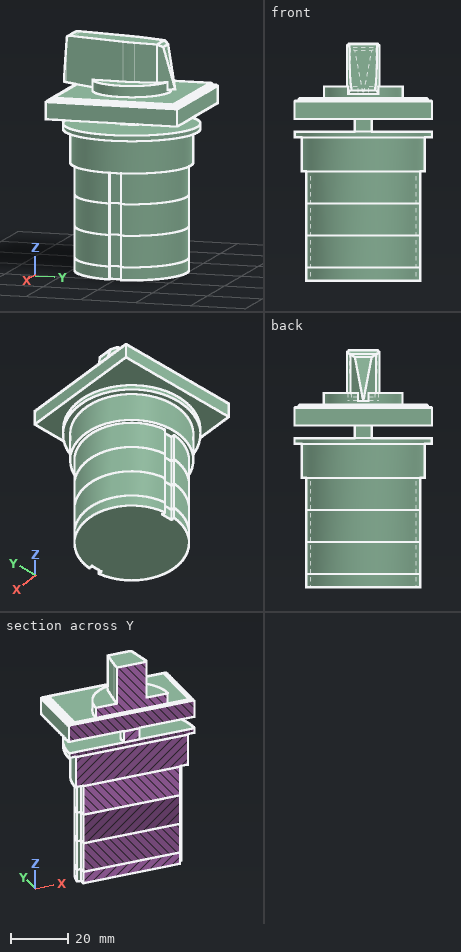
import cadquery as cq

total_height = 82.7
plate_width = 48.0

stage_count = 3
stage_diameter = 40.0
stage_height = 11.2
end_cap_height = 4.6
slot_width = 4.3
slot_depth = 1.6

collar_diameter = 43.0
collar_height = 11.9
flange_height = 2.0

shaft_width = 5.95
panel_gap = 4.3

frame_height = 6.6
label_height = 0.8
label_margin = 1.5
edge_chamfer = 0.5

disc_diameter = 27.5
disc_height = 4.0

tip_y = 15.9
shoulder_y = 10.6
shoulder_half_width = 4.5
waist_y = 0.7
waist_half_width = 5.8
tail_y = -23.6
tail_half_width = 4.8
waist_radius = 23.15
tail_radius = 1.2

pointer_bottom_rise = 1.15
tail_bottom_rise = 2.6
tail_bottom_y = -23.5
tail_top_y = -22.2
underside_y = -11.6
crest_y = -19.85
shoulder_drop = 1.4
brow_y = 12.4
brow_drop = 2.5
crest_radius = 0.75

stack_top = end_cap_height + stage_count * stage_height
collar_top = stack_top + collar_height
flange_top = collar_top + flange_height
frame_bottom = flange_top + panel_gap
frame_top = frame_bottom + frame_height
label_top = frame_top + label_height


def cylinder(diameter, height, bottom):
    return cq.Workplane("XY").workplane(offset=bottom).circle(diameter / 2).extrude(height)


def square_block(width, height, bottom):
    return cq.Workplane("XY").workplane(offset=bottom).rect(width, width).extrude(height)


def slotted_disc(height, bottom):
    """Round block of the stack with a straight slot in its -X and +X sides."""
    slots = (
        cq.Workplane("XY")
        .workplane(offset=bottom)
        .pushPoints([(-stage_diameter / 2, 0), (stage_diameter / 2, 0)])
        .rect(2 * slot_depth, slot_width)
        .extrude(height)
    )
    return cylinder(stage_diameter, height, bottom).cut(slots)


def make_plate(width, height, bottom):
    """Square plate with its upper edges chamfered."""
    return square_block(width, height, bottom).faces(">Z").edges().chamfer(edge_chamfer)


def make_grip():
    """Handle of the knob: its plan outline cut to its side profile."""
    pointer_bottom = label_top + pointer_bottom_rise
    plan = (
        cq.Workplane("XY")
        .workplane(offset=label_top)
        .moveTo(0, tip_y)
        .lineTo(shoulder_half_width, shoulder_y)
        .lineTo(waist_half_width, waist_y)
        .lineTo(tail_half_width, tail_y)
        .lineTo(-tail_half_width, tail_y)
        .lineTo(-waist_half_width, waist_y)
        .lineTo(-shoulder_half_width, shoulder_y)
        .close()
        .extrude(total_height - label_top)
    )
    plan = plan.edges("|Z and (<X or >X)").fillet(waist_radius)
    plan = plan.edges("|Z and <Y").fillet(tail_radius)

    side = (
        cq.Workplane("YZ")
        .moveTo(tip_y, pointer_bottom)
        .lineTo(brow_y, total_height - brow_drop)
        .lineTo(shoulder_y, total_height - shoulder_drop)
        .lineTo(crest_y, total_height)
        .lineTo(tail_top_y, total_height)
        .lineTo(tail_bottom_y, label_top + tail_bottom_rise)
        .lineTo(underside_y, pointer_bottom)
        .close()
        .extrude(waist_half_width, both=True)
    )
    crest_edge = cq.selectors.NearestToPointSelector((0, tail_top_y, total_height))
    side = side.edges("|X").edges(crest_edge).fillet(crest_radius)
    return plan.intersect(side)


def make_knob():
    return cylinder(disc_diameter, disc_height, label_top).union(make_grip())


end_cap = slotted_disc(end_cap_height, 0)
stages = [
    slotted_disc(stage_height, end_cap_height + index * stage_height)
    for index in range(stage_count)
]
collar = cylinder(collar_diameter, collar_height, stack_top)
flange = cylinder(plate_width, flange_height, collar_top)
shaft = square_block(shaft_width, panel_gap, flange_top)
frame = make_plate(plate_width, frame_height, frame_bottom)
label_plate = make_plate(plate_width - 2 * label_margin, label_height, frame_top)
knob = make_knob()

result = cq.Compound.makeCompound([
    end_cap.val(),
    *[stage.val() for stage in stages],
    collar.val(),
    flange.val(),
    shaft.val(),
    frame.val(),
    label_plate.val(),
    knob.val(),
])